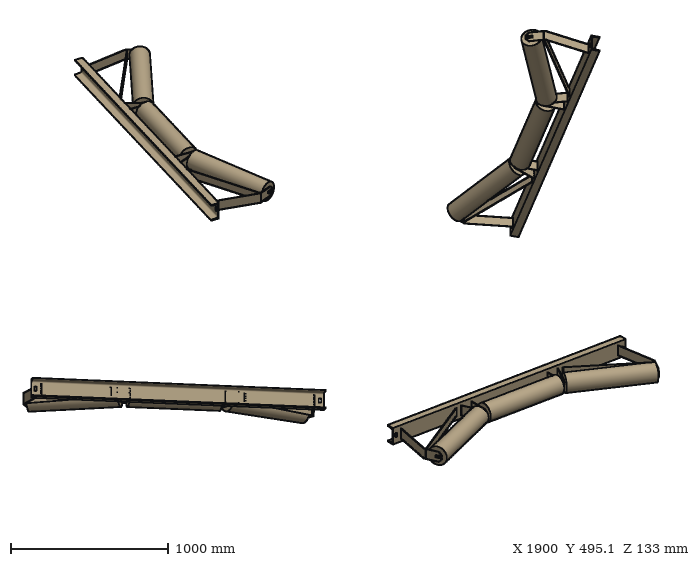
import cadquery as cq
import math


beam_length = 1900.0
beam_height = 120.0
beam_depth = 55.0
web_thickness = 8.0
flange_thickness = 10.0
flange_slope = 0.08
root_radius = 10.0
toe_radius = 4.0
mount_slot_width = 17.0
mount_slot_height = 28.0
mount_slot_inset = 27.0

roller_diameter = 133.0
roller_length = 600.0
shaft_diameter = 20.0
shaft_flat_width = 15.0
end_gap = 8.0
centre_roller_y = 118.0
trough_angle = 25.0
side_roller_x = 620.0
side_roller_y = 253.0

plate_thickness = 5.0
plate_width = 72.0
inner_bend_radius = 12.4
outer_bend_radius = 19.0
outer_bend_drop = 85.0
outer_leg_lean = 10.0
tip_rise = 36.0
tip_chamfer = 23.0
brace_angle = 32.0
brace_foot_x = 437.0
brace_width = 59.0

plate_near = roller_length / 2 + end_gap
plate_far = plate_near + plate_thickness
leg_stock = 760.0


def direction(angle):
    """Unit vector in the XY plane at an angle in degrees from +X."""
    return cq.Vector(math.cos(math.radians(angle)), math.sin(math.radians(angle)))


side_centre = cq.Vector(-side_roller_x, side_roller_y)
axis_out = direction(180 - trough_angle)
axis_up = direction(90 - trough_angle)


def place_on_left(body):
    """Move a body from the roller's own frame to the left roller position."""
    return body.rotate((0, 0, 0), (0, 0, 1), -trough_angle).translate(side_centre)


def both_sides(body):
    """The left-hand body and its mirrored right-hand copy."""
    return [body, body.mirror("YZ")]


def fillet_flange_edges(beam, y, z, radius):
    """Round the matching long edges of the upper and lower flange."""
    for edge_z in (z, -z):
        edge = cq.selectors.NearestToPointSelector((0, y, edge_z))
        beam = beam.edges(edge).fillet(radius)
    return beam


def make_beam():
    """Channel with tapered flanges pointing towards -Y and a mounting slot near each end."""
    half_height = beam_height / 2
    taper = flange_slope * (beam_depth - web_thickness) / 2
    toe_z = half_height - flange_thickness + taper
    root_z = half_height - flange_thickness - taper
    upper = [(0, half_height), (-beam_depth, half_height), (-beam_depth, toe_z), (-web_thickness, root_z)]
    lower = [(y, -z) for y, z in reversed(upper)]
    beam = (
        cq.Workplane("YZ", origin=(-beam_length / 2, 0, 0))
        .polyline(upper + lower)
        .close()
        .extrude(beam_length)
    )
    beam = fillet_flange_edges(beam, -web_thickness, root_z, root_radius)
    beam = fillet_flange_edges(beam, -beam_depth, toe_z, toe_radius)
    slot_x = beam_length / 2 - mount_slot_inset
    slots = (
        cq.Workplane("XZ")
        .pushPoints([(-slot_x, 0), (slot_x, 0)])
        .slot2D(mount_slot_height, mount_slot_width, 90)
        .extrude(web_thickness)
    )
    return beam.cut(slots)


def cylinder_along_x(diameter, length):
    """Cylinder centred on the origin."""
    return cq.Workplane("YZ", origin=(-length / 2, 0, 0)).circle(diameter / 2).extrude(length)


def make_shaft():
    """Round shaft with two flats, flush with the far faces of the bracket plates."""
    flats = cq.Workplane("XY").box(2 * plate_far, shaft_diameter, shaft_flat_width)
    return cylinder_along_x(shaft_diameter, 2 * plate_far).intersect(flats)


def make_roller():
    return cylinder_along_x(roller_diameter, roller_length).union(make_shaft())


def make_shaft_slot():
    """Cutter for the slots holding both shaft ends, open towards +Y."""
    opening = cq.Workplane("XY").box(
        2 * plate_far, roller_diameter, shaft_flat_width, centered=(True, False, True))
    return opening.union(make_shaft())


def bent_plate(centre, radius, first_normal, second_normal, first_length, second_length):
    """Plate of two legs joined by a bend; the normals are the angles the outer faces point at."""
    normal_1 = direction(first_normal)
    normal_2 = direction(second_normal)
    normal_mid = direction((first_normal + second_normal) / 2)
    leg_1 = direction(first_normal - 90) * first_length
    leg_2 = direction(second_normal + 90) * second_length
    inner_radius = radius - plate_thickness

    def point(offset):
        position = centre + offset
        return (position.x, position.y)

    return (
        cq.Workplane("XY", origin=(0, 0, -plate_width / 2))
        .moveTo(*point(normal_1 * radius + leg_1))
        .lineTo(*point(normal_1 * radius))
        .threePointArc(point(normal_mid * radius), point(normal_2 * radius))
        .lineTo(*point(normal_2 * radius + leg_2))
        .lineTo(*point(normal_2 * inner_radius + leg_2))
        .lineTo(*point(normal_2 * inner_radius))
        .threePointArc(point(normal_mid * inner_radius), point(normal_1 * inner_radius))
        .lineTo(*point(normal_1 * inner_radius + leg_1))
        .close()
        .extrude(plate_width)
    )


def above_beam(body):
    """Trim a body flush with the back face of the beam."""
    space = cq.Workplane("XY").box(2 * beam_length, beam_length, beam_height, centered=(True, False, True))
    return body.intersect(space)


def make_inner_bracket():
    """Left inner bracket: an inverted V between the centre roller and the left roller."""
    bend_offset = plate_near + inner_bend_radius
    bend_x = -bend_offset
    bend_y = side_centre.y - (bend_offset + (bend_x - side_centre.x) * axis_out.x) / axis_out.y
    bracket = bent_plate(
        cq.Vector(bend_x, bend_y), inner_bend_radius, 0, 180 - trough_angle, leg_stock, leg_stock)
    bracket = above_beam(bracket)
    slot = make_shaft_slot()
    slot_centre = (0, centre_roller_y, 0)
    return bracket.cut(slot.translate(slot_centre)).cut(place_on_left(slot))


def make_outer_bracket():
    """Left outer bracket: a leaning lower leg and an upper leg square to the roller axis."""
    bend_centre = side_centre + axis_out * (plate_far - outer_bend_radius) - axis_up * outer_bend_drop
    bracket = bent_plate(
        bend_centre, outer_bend_radius, 180 - trough_angle, 180 + outer_leg_lean,
        outer_bend_drop + tip_rise, leg_stock)
    tip_corners = bracket.faces(cq.selectors.DirectionMinMaxSelector(axis_up)).edges(
        cq.selectors.ParallelDirSelector(axis_out))
    bracket = tip_corners.chamfer(tip_chamfer)
    return above_beam(bracket).cut(place_on_left(make_shaft_slot()))


def make_brace(outer_bracket):
    """Left brace: a flat bar from the beam up to the inside of the outer bracket."""
    bar = (
        cq.Workplane("XY")
        .box(2 * leg_stock, plate_thickness, brace_width)
        .rotate((0, 0, 0), (0, 0, 1), -brace_angle)
        .translate((-brace_foot_x, 0, 0))
    )
    pieces = above_beam(bar).cut(outer_bracket)
    return pieces.solids(">X")


beam = make_beam()
centre_roller = make_roller().translate((0, centre_roller_y, 0))
side_rollers = both_sides(place_on_left(make_roller()))
inner_brackets = both_sides(make_inner_bracket())
outer_bracket = make_outer_bracket()
outer_brackets = both_sides(outer_bracket)
braces = both_sides(make_brace(outer_bracket))

bodies = [beam, centre_roller, *side_rollers, *inner_brackets, *outer_brackets, *braces]
result = cq.Compound.makeCompound([body.solids().val() for body in bodies])